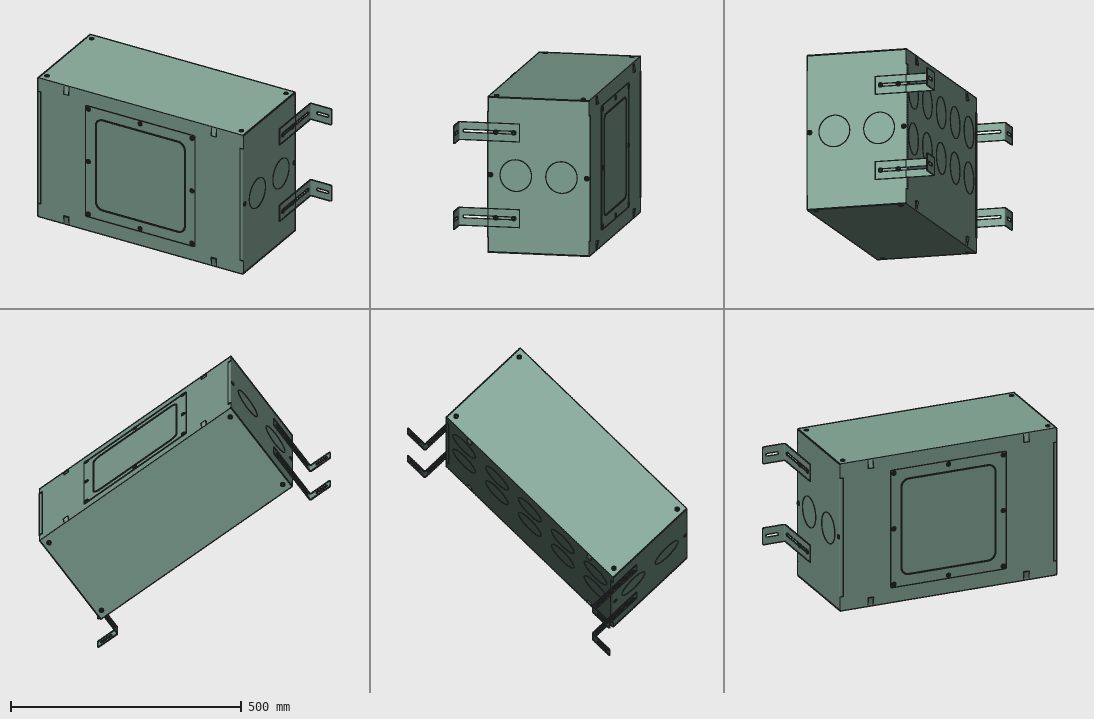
import cadquery as cq
import math

TURN_ANGLE = 8.0

OVERALL_LENGTH = 620.0

LENGTH = 517.0
DEPTH = 225.0
HEIGHT = 345.0

COVER_THICKNESS = 1.0
COVER_EDGE_GAP = 2.0
LIP_WIDTH = 8.0
LIP_HEIGHT = 277.5
LIP_THICKNESS = 1.0

PANEL_SIZE = 275.0
PANEL_THICKNESS = 1.0
PANEL_CORNER_RADIUS = 4.0
WINDOW_SIZE = 225.5
WINDOW_CORNER_RADIUS = 18.5
WINDOW_GROOVE = 2.0
PANEL_SCREW_PITCH = 130.0

HEAD_DIAMETER = 10.0
HEAD_HEIGHT = 1.55
HEAD_CHAMFER = 1.0
SOCKET_DIAMETER = 4.5
SOCKET_DEPTH = 0.9
LID_SCREW_INSET_X = 14.0
LID_SCREW_INSET_Y = 16.0
COVER_SCREW_INSET = 5.5

KNOCKOUT_DIAMETER = 70.0
KNOCKOUT_DEPTH = 0.5
KNOCKOUT_PITCH = 101.5
BACK_KNOCKOUT_COLUMNS = 5
BACK_KNOCKOUT_UPPER_Z = 85.0

TAB_WIDTH = 12.5
TAB_HEIGHT = 17.5
TAB_PROJECTION = 4.0
TAB_X = 185.5
TAB_OUTER_Z = 169.0

BRACKET_HEIGHT = 39.5
BRACKET_THICKNESS = 2.0
BRACKET_Z = 95.0
LEG_ON_COVER = 70.0
LEG_BEHIND_BACK = 65.0
BEND_RADIUS = 2.0
LEG_SLOT_END_MARGIN = 10.0
SLOT_WIDTH = 6.0
FOOT_SLOT_LENGTH = 30.0
FOOT_SLOT_TIP_DISTANCE = 23.0
FOOT_CORNER_RADIUS = 4.5
LEG_SCREW_MARGIN = 12.5
LEG_SCREW_PITCH = 40.0

HALF_LENGTH = LENGTH / 2
HALF_DEPTH = DEPTH / 2
HALF_HEIGHT = HEIGHT / 2
TURN = math.radians(TURN_ANGLE)
BRACKET_SPAN = (OVERALL_LENGTH - BRACKET_THICKNESS * math.sin(TURN)) / math.cos(TURN)
SIDES = (-1, 1)


def box_between(x_range, y_range, z_range):
    sizes = [abs(b - a) for a, b in (x_range, y_range, z_range)]
    lows = [min(r) for r in (x_range, y_range, z_range)]
    return cq.Workplane("XY").box(*sizes, centered=False).translate(tuple(lows))


def outward_plane(point, normal):
    """Plane at the point facing along the normal; its Y is Z for the upright faces."""
    x_direction = (1, 0, 0) if normal[2] else (-normal[1], normal[0], 0)
    return cq.Plane(origin=point, xDir=x_direction, normal=normal)


def screw_head(point, normal):
    """Chamfered head with a hexagonal socket, standing on the point."""
    head = cq.Workplane("XY").circle(HEAD_DIAMETER / 2).extrude(HEAD_HEIGHT)
    head = head.faces(">Z").chamfer(HEAD_CHAMFER)
    head = head.faces(">Z").workplane().polygon(6, SOCKET_DIAMETER).cutBlind(-SOCKET_DEPTH)
    return cq.Workplane(head.val().moved(outward_plane(point, normal).location))


def enclosure():
    core_length = LENGTH - 2 * COVER_THICKNESS
    return cq.Workplane("XY").box(core_length, DEPTH, HEIGHT)


def end_cover(side):
    outer_x = side * HALF_LENGTH
    plate_half_height = HALF_HEIGHT - COVER_EDGE_GAP
    lip_y = HALF_DEPTH + LIP_THICKNESS
    plate = box_between(
        (outer_x - side * COVER_THICKNESS, outer_x),
        (-HALF_DEPTH, HALF_DEPTH),
        (-plate_half_height, plate_half_height),
    )
    lips = box_between(
        (outer_x - side * LIP_WIDTH, outer_x), (-lip_y, lip_y), (-LIP_HEIGHT / 2, LIP_HEIGHT / 2)
    )
    fold = "|Z and >X" if side > 0 else "|Z and <X"
    cover = plate.union(lips.edges(fold).fillet(LIP_THICKNESS))
    for end in SIDES:
        screw_y = end * (HALF_DEPTH - COVER_SCREW_INSET)
        cover = cover.union(screw_head((outer_x, screw_y, 0), (side, 0, 0)))
    return cover


def lid_screws():
    heads = cq.Workplane("XY")
    for side in SIDES:
        for x in SIDES:
            for y in SIDES:
                point = (
                    x * (HALF_LENGTH - LID_SCREW_INSET_X),
                    y * (HALF_DEPTH - LID_SCREW_INSET_Y),
                    side * HALF_HEIGHT,
                )
                heads = heads.add(screw_head(point, (0, 0, side)))
    return heads.combine()


def access_panel():
    front = cq.Workplane(outward_plane((0, -HALF_DEPTH, 0), (0, -1, 0)))
    panel = front.rect(PANEL_SIZE, PANEL_SIZE).extrude(PANEL_THICKNESS)
    panel = panel.edges("|Y").fillet(PANEL_CORNER_RADIUS)
    inner_size = WINDOW_SIZE - 2 * WINDOW_GROOVE
    inner_radius = WINDOW_CORNER_RADIUS - WINDOW_GROOVE
    outer = front.rect(WINDOW_SIZE, WINDOW_SIZE).extrude(PANEL_THICKNESS)
    inner = front.rect(inner_size, inner_size).extrude(PANEL_THICKNESS)
    groove = outer.edges("|Y").fillet(WINDOW_CORNER_RADIUS).cut(inner.edges("|Y").fillet(inner_radius))
    panel = panel.cut(groove)
    face_y = -HALF_DEPTH - PANEL_THICKNESS
    for column in (-1, 0, 1):
        for row in (-1, 0, 1):
            if (column, row) != (0, 0):
                point = (column * PANEL_SCREW_PITCH, face_y, row * PANEL_SCREW_PITCH)
                panel = panel.union(screw_head(point, (0, -1, 0)))
    return panel


def knockout(point, normal):
    plane = outward_plane(point, normal)
    return cq.Workplane(plane).circle(KNOCKOUT_DIAMETER / 2).extrude(-KNOCKOUT_DEPTH)


def knockouts():
    recesses = cq.Workplane("XY")
    for side in SIDES:
        for end in SIDES:
            point = (side * HALF_LENGTH, end * KNOCKOUT_PITCH / 2, 0)
            recesses = recesses.add(knockout(point, (side, 0, 0)))
    for column in range(BACK_KNOCKOUT_COLUMNS):
        x = (column - (BACK_KNOCKOUT_COLUMNS - 1) / 2) * KNOCKOUT_PITCH
        for z in (BACK_KNOCKOUT_UPPER_Z, BACK_KNOCKOUT_UPPER_Z - KNOCKOUT_PITCH):
            recesses = recesses.add(knockout((x, HALF_DEPTH, z), (0, 1, 0)))
    return recesses.combine()


def tabs():
    wedges = cq.Workplane("XY")
    for x in (-TAB_X, TAB_X):
        for face in SIDES:
            for level in SIDES:
                face_y = face * HALF_DEPTH
                outer_z = level * TAB_OUTER_Z
                inner_z = level * (TAB_OUTER_Z - TAB_HEIGHT)
                profile = [(face_y, outer_z), (face_y, inner_z), (face_y + face * TAB_PROJECTION, inner_z)]
                side_plane = cq.Workplane("YZ", origin=(x, 0, 0))
                wedges = wedges.add(side_plane.polyline(profile).close().extrude(TAB_WIDTH / 2, both=True))
    return wedges.combine()


def bracket(side, z):
    """Leg along an end cover, reaching behind the box to a foot that turns outward."""
    cover_x = side * HALF_LENGTH
    outer_x = cover_x + side * BRACKET_THICKNESS
    tip_x = side * BRACKET_SPAN / 2
    leg_front = HALF_DEPTH - LEG_ON_COVER
    leg_back = HALF_DEPTH + LEG_BEHIND_BACK
    z_range = (z - BRACKET_HEIGHT / 2, z + BRACKET_HEIGHT / 2)

    leg = box_between((cover_x, outer_x), (leg_front, leg_back), z_range)
    slot_length = leg_back - leg_front - 2 * LEG_SLOT_END_MARGIN
    leg_slot = (
        cq.Workplane("YZ", origin=(cover_x, (leg_front + leg_back) / 2, z))
        .slot2D(slot_length, SLOT_WIDTH)
        .extrude(BRACKET_THICKNESS, both=True)
    )

    foot = box_between((cover_x, tip_x), (leg_back - BRACKET_THICKNESS, leg_back), z_range)
    foot = foot.edges("|Y and >X" if side > 0 else "|Y and <X").fillet(FOOT_CORNER_RADIUS)
    foot_slot = (
        cq.Workplane("XZ", origin=(tip_x - side * FOOT_SLOT_TIP_DISTANCE, leg_back, z))
        .slot2D(FOOT_SLOT_LENGTH, SLOT_WIDTH)
        .extrude(BRACKET_THICKNESS)
    )

    part = leg.union(foot)
    inner_bend = (outer_x, leg_back - BRACKET_THICKNESS, z)
    outer_bend = (cover_x, leg_back, z)
    part = part.edges(cq.selectors.NearestToPointSelector(inner_bend)).fillet(BEND_RADIUS)
    part = part.edges(cq.selectors.NearestToPointSelector(outer_bend)).fillet(BEND_RADIUS + BRACKET_THICKNESS)
    part = part.cut(leg_slot).cut(foot_slot)
    for offset in (LEG_SCREW_MARGIN, LEG_SCREW_MARGIN + LEG_SCREW_PITCH):
        point = (cover_x, leg_front + offset, z)
        cover_face = cq.Workplane(outward_plane(point, (side, 0, 0)))
        shank = cover_face.circle(SLOT_WIDTH / 2).extrude(BRACKET_THICKNESS)
        part = part.union(shank).union(screw_head((outer_x, point[1], z), (side, 0, 0)))
    return part


box = enclosure().union(tabs()).union(lid_screws()).union(access_panel())
for end_side in SIDES:
    box = box.union(end_cover(end_side))
box = box.cut(knockouts())
for end_side in SIDES:
    for bracket_z in (-BRACKET_Z, BRACKET_Z):
        box = box.union(bracket(end_side, bracket_z))

result = box.rotate((0, 0, 0), (0, 0, 1), TURN_ANGLE)